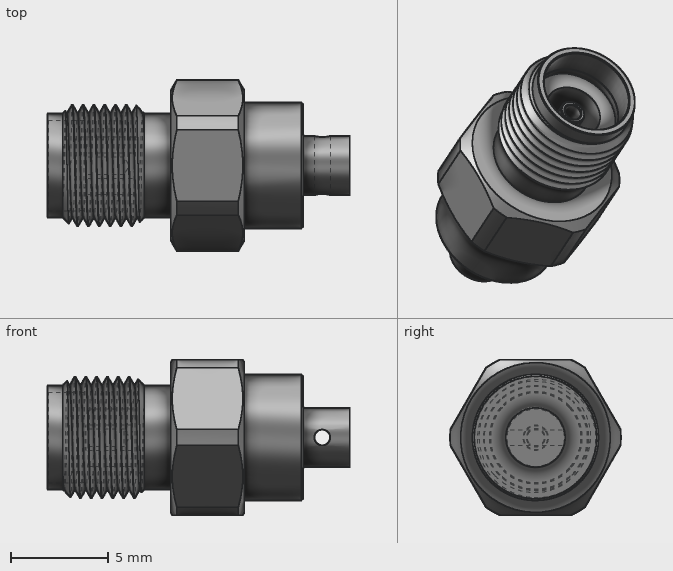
import cadquery as cq
import math


THREAD_START = 0.8
THREAD_END = 4.99
HEX_START = 6.35
HEX_END = 10.15
BODY_END = 13.16
TOTAL_LENGTH = 15.57

CORE_DIAMETER = 5.37
NOSE_CHAMFER = 0.04
BODY_DIAMETER = 6.5
BODY_CHAMFER = 0.1
TAIL_DIAMETER = 3.05
TAIL_FILLET = 0.08

HEX_SIDES = 6
HEX_ACROSS_FLATS = 8.0
HEX_CORNER_DIAMETER = 8.8
HEX_FACE_DIAMETER = 7.7
HEX_CHAMFER_ANGLE = 30.0

THREAD_DIAMETER = 6.27
THREAD_PITCH = 0.556
THREAD_ANGLE = 60.0
CREST_WIDTH = 0.03
RIDGE_START = 0.182
RIDGE_TURNS = 10
RIDGE_EMBED = 0.05

MOUTH_DIAMETER = 4.67
MOUTH_CHAMFER = 0.05
MOUTH_DEPTH = 1.5
LEDGE_DIAMETER = 4.63
LEDGE_DEPTH = 1.89
BORE_DIAMETER = 2.95
BORE_DEPTH = 4.5

PIN_DIAMETER = 1.3
PIN_TIP = 1.95
PIN_CHAMFER = 0.04
PIN_HOLE_DIAMETER = 0.88
PIN_HOLE_DEPTH = 2.0
PIN_DRILL_ANGLE = 118.0

CROSS_HOLE_DIAMETER = 0.8
CROSS_HOLE_X = 14.15


def revolve_about_x(profile):
    """Revolve a closed XY profile a full turn about the X axis."""
    return profile.close().revolve(360, (0, 0, 0), (1, 0, 0))


def cylinder(start, end, diameter):
    """Solid cylinder on the X axis between two stations."""
    return cq.Workplane("YZ", origin=(start, 0, 0)).circle(diameter / 2).extrude(end - start)


def make_core():
    """Nose and neck, reaching into the hexagon."""
    return cylinder(0, HEX_END, CORE_DIAMETER).faces("<X").chamfer(NOSE_CHAMFER)


def make_helix(radius, start):
    """Right-handed helix about the X axis that begins on the +Y side at the given station."""
    helix = cq.Wire.makeHelix(THREAD_PITCH, THREAD_PITCH * RIDGE_TURNS, radius)
    turned = helix.rotate(cq.Vector(0, 0, 0), cq.Vector(1, 1, 1), 120)
    return turned.translate(cq.Vector(start, 0, 0))


def make_ridge():
    """Untrimmed helical ridge, its flanks and crest ruled between the helices of its corners."""
    crest = THREAD_DIAMETER / 2
    core = CORE_DIAMETER / 2
    half_crest = CREST_WIDTH / 2
    half_root = half_crest + (crest - core) * math.tan(math.radians(THREAD_ANGLE / 2))
    corners = [
        (core - RIDGE_EMBED, -half_root),
        (core - RIDGE_EMBED, half_root),
        (core, half_root),
        (crest, half_crest),
        (crest, -half_crest),
        (core, -half_root),
    ]
    edges = [make_helix(radius, RIDGE_START + offset) for radius, offset in corners]
    next_edges = edges[1:] + edges[:1]
    faces = [cq.Face.makeRuledSurface(edge, following) for edge, following in zip(edges, next_edges)]
    end_outlines = [
        [edge.startPoint() for edge in edges],
        [edge.endPoint() for edge in edges],
    ]
    for outline in end_outlines:
        faces.append(cq.Face.makeFromWires(cq.Wire.makePolygon(outline, close=True)))
    return cq.Workplane(obj=cq.Solid.makeSolid(cq.Shell.makeShell(faces)))


def make_thread():
    """Helical ridge trimmed to the thread length by 45 degree cones at both ends."""
    core = CORE_DIAMETER / 2
    half_length = (THREAD_END - THREAD_START) / 2
    envelope = revolve_about_x(
        cq.Workplane("XY")
        .moveTo(THREAD_START, 0)
        .lineTo(THREAD_START, core)
        .lineTo(THREAD_START + half_length, core + half_length)
        .lineTo(THREAD_END, core)
        .lineTo(THREAD_END, 0)
    )
    return make_ridge().intersect(envelope)


def make_hexagon():
    """Hexagon with flats facing up and down, rounded corners and coned ends."""
    corner = HEX_CORNER_DIAMETER / 2
    face = HEX_FACE_DIAMETER / 2
    cone_length = (corner - face) * math.tan(math.radians(HEX_CHAMFER_ANGLE))
    across_corners = HEX_ACROSS_FLATS / math.cos(math.pi / HEX_SIDES)
    prism = (
        cq.Workplane("YZ", origin=(HEX_START, 0, 0))
        .polygon(HEX_SIDES, across_corners)
        .extrude(HEX_END - HEX_START)
    )
    turned = revolve_about_x(
        cq.Workplane("XY")
        .moveTo(HEX_START, 0)
        .lineTo(HEX_START, face)
        .lineTo(HEX_START + cone_length, corner)
        .lineTo(HEX_END - cone_length, corner)
        .lineTo(HEX_END, face)
        .lineTo(HEX_END, 0)
    )
    return prism.intersect(turned)


def make_rear():
    """Rear body and cross-drilled tail, with a small fillet between them."""
    body = BODY_DIAMETER / 2
    tail = TAIL_DIAMETER / 2
    fillet_drop = TAIL_FILLET * (1 - math.sqrt(0.5))
    rear = revolve_about_x(
        cq.Workplane("XY")
        .moveTo(HEX_START, 0)
        .lineTo(HEX_START, body)
        .lineTo(BODY_END - BODY_CHAMFER, body)
        .lineTo(BODY_END, body - BODY_CHAMFER)
        .lineTo(BODY_END, tail + TAIL_FILLET)
        .threePointArc(
            (BODY_END + fillet_drop, tail + fillet_drop),
            (BODY_END + TAIL_FILLET, tail),
        )
        .lineTo(TOTAL_LENGTH, tail)
        .lineTo(TOTAL_LENGTH, 0)
    )
    cross_hole = (
        cq.Workplane("XZ")
        .center(CROSS_HOLE_X, 0)
        .circle(CROSS_HOLE_DIAMETER / 2)
        .extrude(TAIL_DIAMETER, both=True)
    )
    return rear.cut(cross_hole)


def make_socket():
    """Stepped cavity opening at the mating face."""
    mouth = MOUTH_DIAMETER / 2
    ledge = LEDGE_DIAMETER / 2
    bore = BORE_DIAMETER / 2
    return revolve_about_x(
        cq.Workplane("XY")
        .lineTo(0, mouth + MOUTH_CHAMFER)
        .lineTo(MOUTH_CHAMFER, mouth)
        .lineTo(MOUTH_DEPTH, mouth)
        .lineTo(MOUTH_DEPTH, ledge)
        .lineTo(LEDGE_DEPTH, ledge)
        .lineTo(LEDGE_DEPTH, bore)
        .lineTo(BORE_DEPTH, bore)
        .lineTo(BORE_DEPTH, 0)
    )


def make_pin():
    """Centre contact with a drilled, cone-bottomed hole."""
    pin = PIN_DIAMETER / 2
    hole = PIN_HOLE_DIAMETER / 2
    hole_end = PIN_TIP + PIN_HOLE_DEPTH
    cone_length = hole / math.tan(math.radians(PIN_DRILL_ANGLE / 2))
    return revolve_about_x(
        cq.Workplane("XY")
        .moveTo(hole_end + cone_length, 0)
        .lineTo(hole_end, hole)
        .lineTo(PIN_TIP + PIN_CHAMFER, hole)
        .lineTo(PIN_TIP, hole + PIN_CHAMFER)
        .lineTo(PIN_TIP, pin - PIN_CHAMFER)
        .lineTo(PIN_TIP + PIN_CHAMFER, pin)
        .lineTo(HEX_START, pin)
        .lineTo(HEX_START, 0)
    )


outside = make_core().union(make_thread()).union(make_hexagon()).union(make_rear())
result = outside.cut(make_socket()).union(make_pin())